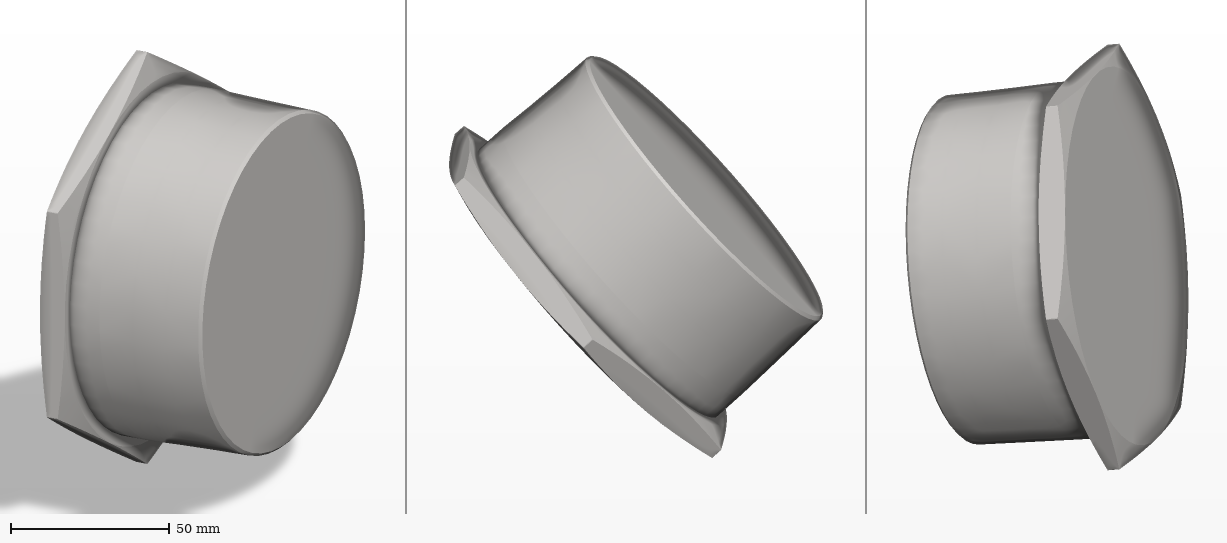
import cadquery as cq
import math

hex_half_angle = math.radians(30)
flat_width = 120.0
corner_width = 138.5
face_diameter = 119.9
head_thickness = 8.9
head_chamfer_angle = 15.0
sharp_corner_diameter = flat_width / math.cos(hex_half_angle)
corner_radius = corner_width / 2
face_radius = face_diameter / 2
chamfer_depth = (corner_radius - face_radius) * math.tan(math.radians(head_chamfer_angle))

total_length = 55.1
collar_diameter = 113.0
collar_end = 19.4
taper = 1 / 16
tip_chamfer = 1.0
collar_radius = collar_diameter / 2
tip_radius = collar_radius - (total_length - collar_end) * taper / 2


def revolve_about_x(profile):
    """Revolve (x, radius) points that start and end on the X axis."""
    return cq.Workplane("XY").polyline(profile).close().revolve(360, (0, 0, 0), (1, 0, 0))


def hex_head():
    prism = (
        cq.Workplane("YZ")
        .transformed(rotate=(0, 0, 90))
        .polygon(6, sharp_corner_diameter)
        .extrude(head_thickness)
    )

    envelope = revolve_about_x([
        (0, 0),
        (0, face_radius),
        (chamfer_depth, corner_radius),
        (head_thickness - chamfer_depth, corner_radius),
        (head_thickness, face_radius),
        (head_thickness, 0),
    ])
    return prism.intersect(envelope)


def plug_body():
    body_start = head_thickness / 2
    body = revolve_about_x([
        (body_start, 0),
        (body_start, collar_radius),
        (collar_end, collar_radius),
        (total_length, tip_radius),
        (total_length, 0),
    ])
    return body.faces(">X").edges().chamfer(tip_chamfer)


result = hex_head().union(plug_body())